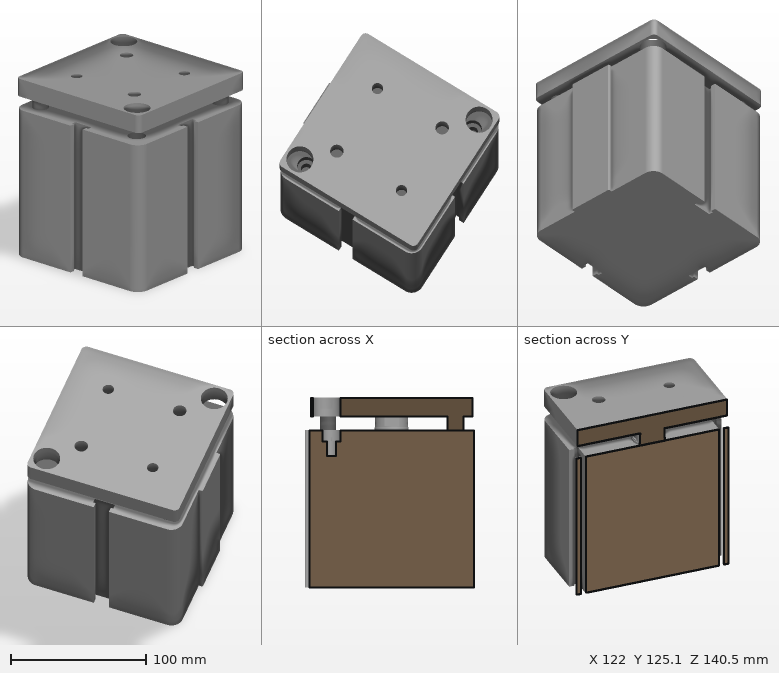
import cadquery as cq

TOTAL_HEIGHT = 140.5
PLATE_GAP = 10.0
PLATE_THICKNESS = 14.0
HOUSING_HEIGHT = TOTAL_HEIGHT - PLATE_THICKNESS - PLATE_GAP
PLATE_BOTTOM = HOUSING_HEIGHT + PLATE_GAP

HOUSING_SIDE = 122.0
HOUSING_CORNER_RADIUS = 9.0
RAIL_WIDTH = 37.0
RAIL_HEIGHT = 3.1
RAIL_EDGE_RADIUS = 1.0

SLOT_MOUTH_WIDTH = 12.0
SLOT_MOUTH_DEPTH = 4.1
SLOT_INNER_WIDTH = 16.0
SLOT_TOTAL_DEPTH = 7.6
SLOT_ANGLES = (-90, 0, 180)

BOLT_OFFSET = 44.5
BOLT_DIAMETER = 8.1
BOLT_COUNTERBORE_DIAMETER = 13.8
BOLT_COUNTERBORE_DEPTH = 8.5
BOLT_HOLE_DEPTH = 19.0

PLATE_SIDE = 120.0
PLATE_CORNER_RADIUS = 4.0
ACCESS_HOLE_DIAMETER = 20.0
ACCESS_HOLE_OFFSET = 48.0
FIXING_HOLE_OFFSET = 28.2
SCREW_HOLE_DIAMETER = 8.5
DOWEL_HOLE_DIAMETER = 10.0

GUIDE_ROD_DIAMETER = 12.0
GUIDE_ROD_OFFSET = 47.0
SHOULDER_DIAMETER = 25.0
SHOULDER_HEIGHT = 2.1
CENTRE_ROD_DIAMETER = 24.5
SHOULDER_CHAMFER = (SHOULDER_DIAMETER - CENTRE_ROD_DIAMETER) / 2
CENTRE_ROD_CHAMFER = 0.5
FLATS_START = 3.0
ACROSS_FLATS = 21.9


def rising_diagonal(offset):
    """Two points on the diagonal through the +X+Y and -X-Y corners."""
    return [(offset, offset), (-offset, -offset)]


def falling_diagonal(offset):
    """Two points on the diagonal through the -X+Y and +X-Y corners."""
    return [(-offset, offset), (offset, -offset)]


def t_slot(angle):
    """Cutter for one T-slot, made on the +X face and turned about Z."""
    face = HOUSING_SIDE / 2
    mouth = cq.Workplane("XY").box(
        SLOT_MOUTH_DEPTH, SLOT_MOUTH_WIDTH, HOUSING_HEIGHT, centered=(False, True, False)
    ).translate((face - SLOT_MOUTH_DEPTH, 0, 0))
    inner = cq.Workplane("XY").box(
        SLOT_TOTAL_DEPTH - SLOT_MOUTH_DEPTH, SLOT_INNER_WIDTH, HOUSING_HEIGHT,
        centered=(False, True, False),
    ).translate((face - SLOT_TOTAL_DEPTH, 0, 0))
    return mouth.union(inner).rotate((0, 0, 0), (0, 0, 1), angle)


def make_housing():
    """Square block with a rail on +Y, three T-slots and two blind bolt holes."""
    block = (
        cq.Workplane("XY")
        .rect(HOUSING_SIDE, HOUSING_SIDE)
        .extrude(HOUSING_HEIGHT)
        .edges("|Z")
        .fillet(HOUSING_CORNER_RADIUS)
    )
    rail = cq.Workplane("XY").box(
        RAIL_WIDTH, HOUSING_SIDE / 2 + RAIL_HEIGHT, HOUSING_HEIGHT, centered=(True, False, False)
    ).edges("|Z and >Y").fillet(RAIL_EDGE_RADIUS)
    body = block.union(rail)
    for angle in SLOT_ANGLES:
        body = body.cut(t_slot(angle))
    return (
        body.faces(">Z")
        .workplane(origin=(0, 0, HOUSING_HEIGHT))
        .pushPoints(falling_diagonal(BOLT_OFFSET))
        .cboreHole(BOLT_DIAMETER, BOLT_COUNTERBORE_DIAMETER, BOLT_COUNTERBORE_DEPTH, BOLT_HOLE_DEPTH)
    )


def plate_holes(points, diameter):
    """Cutters for round holes through the plate thickness."""
    return (
        cq.Workplane("XY", origin=(0, 0, PLATE_BOTTOM))
        .pushPoints(points)
        .circle(diameter / 2)
        .extrude(PLATE_THICKNESS)
    )


def make_plate():
    """Rounded square plate with access, screw and dowel holes."""
    plate = (
        cq.Workplane("XY", origin=(0, 0, PLATE_BOTTOM))
        .rect(PLATE_SIDE, PLATE_SIDE)
        .extrude(PLATE_THICKNESS)
        .edges("|Z")
        .fillet(PLATE_CORNER_RADIUS)
    )
    plate = plate.cut(plate_holes(falling_diagonal(ACCESS_HOLE_OFFSET), ACCESS_HOLE_DIAMETER))
    plate = plate.cut(plate_holes(rising_diagonal(FIXING_HOLE_OFFSET), SCREW_HOLE_DIAMETER))
    return plate.cut(plate_holes(falling_diagonal(FIXING_HOLE_OFFSET), DOWEL_HOLE_DIAMETER))


def make_guide_rods():
    """Two guide rods from the housing top to the plate."""
    return (
        cq.Workplane("XY", origin=(0, 0, HOUSING_HEIGHT))
        .pushPoints(rising_diagonal(GUIDE_ROD_OFFSET))
        .circle(GUIDE_ROD_DIAMETER / 2)
        .extrude(PLATE_GAP)
    )


def make_centre_rod():
    """Chamfered rod with a shoulder at its foot and wrench flats facing +X and -X."""
    base = cq.Workplane("XY", origin=(0, 0, HOUSING_HEIGHT))
    shoulder = (
        base.circle(SHOULDER_DIAMETER / 2)
        .extrude(SHOULDER_HEIGHT)
        .faces(">Z")
        .chamfer(SHOULDER_CHAMFER)
    )
    foot = base.circle(CENTRE_ROD_DIAMETER / 2).extrude(FLATS_START)
    neck = (
        base.circle(CENTRE_ROD_DIAMETER / 2)
        .extrude(PLATE_GAP)
        .faces(">Z")
        .chamfer(CENTRE_ROD_CHAMFER)
        .intersect(base.rect(ACROSS_FLATS, CENTRE_ROD_DIAMETER).extrude(PLATE_GAP))
    )
    return shoulder.union(foot).union(neck)


def make_slide():
    """Moving body: plate, guide rods and centre rod in one piece."""
    return make_plate().union(make_guide_rods()).union(make_centre_rod())


housing = make_housing()
slide = make_slide()

result = cq.Compound.makeCompound([housing.val(), slide.val()])